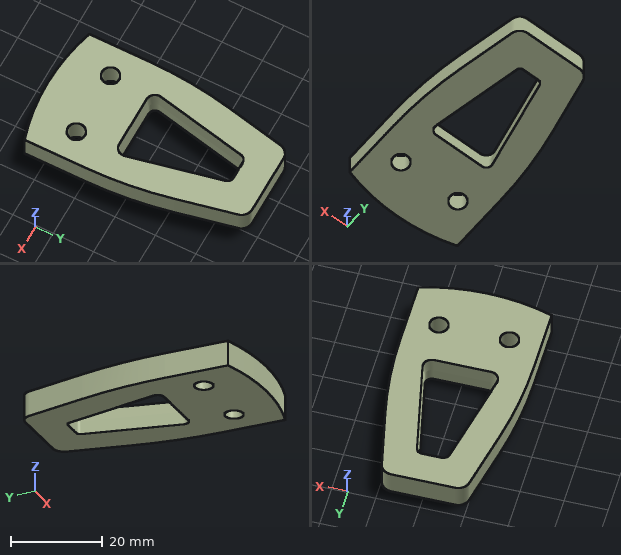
import cadquery as cq
import math

length = 54.6
width = 30.3
thickness = 6.0
half_width = width / 2
bottom_arc_rise = 2.3
straight_side_end = 17.4
side_radius = 100.0
side_angle = math.radians(12)
top_corner_radius = 2.75

window_bottom = 21.1
window_top = 47.15
window_bottom_half_width = 8.95
window_top_corner_radius = 1.55
window_bottom_corner_radius = 2.0
window_draft = 10.0

hole_diameter = 4.2
hole_spacing = 16.0
hole_y = 11.35


def side_arc_point(angle):
    """Point on the right-hand side arc, turned by angle from its lower end."""
    x = half_width - side_radius * (1 - math.cos(angle))
    y = straight_side_end + side_radius * math.sin(angle)
    return x, y


def mirrored(point):
    return -point[0], point[1]


def make_plate():
    arc_middle = side_arc_point(side_angle / 2)
    arc_end = side_arc_point(side_angle)
    top_corner = (arc_end[0] - (length - arc_end[1]) * math.tan(side_angle), length)
    bottom_corner = (half_width, bottom_arc_rise)
    side_start = (half_width, straight_side_end)
    plate = (
        cq.Workplane("XY")
        .moveTo(*bottom_corner)
        .lineTo(*side_start)
        .threePointArc(arc_middle, arc_end)
        .lineTo(*top_corner)
        .lineTo(*mirrored(top_corner))
        .lineTo(*mirrored(arc_end))
        .threePointArc(mirrored(arc_middle), mirrored(side_start))
        .lineTo(*mirrored(bottom_corner))
        .threePointArc((0, 0), bottom_corner)
        .close()
        .extrude(thickness)
    )
    return plate.faces(">Y").edges("|Z").fillet(top_corner_radius)


def make_window():
    """Cutter that narrows from the top face to mid-thickness, then drops straight through."""
    top_half_width = window_bottom_half_width - (window_top - window_bottom) * math.tan(side_angle)
    corners = [
        (-window_bottom_half_width, window_bottom),
        (window_bottom_half_width, window_bottom),
        (top_half_width, window_top),
        (-top_half_width, window_top),
    ]
    outline = (
        cq.Sketch()
        .polygon(corners + corners[:1])
        .vertices(">Y")
        .fillet(window_top_corner_radius)
        .reset()
        .vertices("<Y")
        .fillet(window_bottom_corner_radius)
    )
    half_thickness = thickness / 2
    tapered_part = (
        cq.Workplane("XY", origin=(0, 0, thickness))
        .placeSketch(outline)
        .extrude(-half_thickness, taper=window_draft)
    )
    straight_part = (
        tapered_part.faces("<Z").wires().toPending().workplane().extrude(half_thickness, combine=False)
    )
    return tapered_part.union(straight_part)


def make_holes():
    return (
        cq.Workplane("XY")
        .pushPoints([(-hole_spacing / 2, hole_y), (hole_spacing / 2, hole_y)])
        .circle(hole_diameter / 2)
        .extrude(thickness)
    )


result = make_plate().cut(make_window()).cut(make_holes())